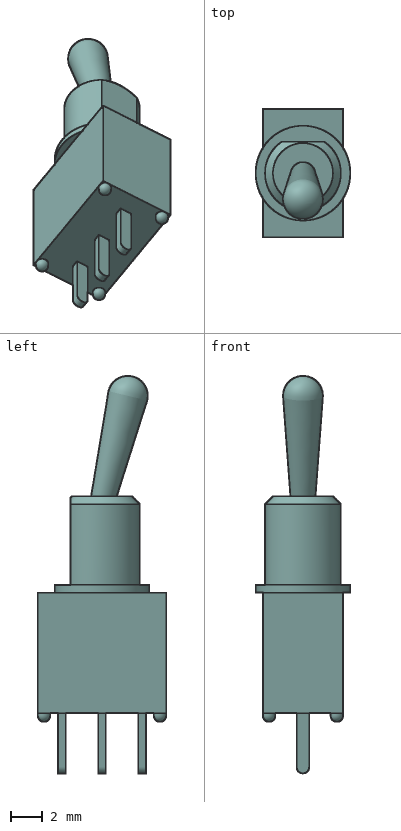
import cadquery as cq
import math


case_width = 5.08
case_length = 8.13
case_height = 7.62

flange_diameter = 6.0
flange_thickness = 0.5
bushing_diameter = 4.8
bushing_height = 5.6
bushing_chamfer = 0.5
bushing_flat_y = 2.0

ball_diameter = 2.54
lever_neck_diameter = 1.6
lever_tilt = 13.5
lever_rise = 7.61
lever_neck_y = -0.11
lever_embed = 0.5

terminal_count = 3
terminal_pitch = 2.54
terminal_width = 0.8
terminal_thickness = 0.5
terminal_length = 3.81

foot_diameter = 0.8
foot_height = 0.55

flange_top = case_height + flange_thickness
bushing_top = flange_top + bushing_height


def make_case():
    return cq.Workplane("XY").box(case_width, case_length, case_height, centered=(True, True, False))


def make_flange():
    return cq.Workplane("XY").workplane(offset=case_height).circle(flange_diameter / 2).extrude(flange_thickness)


def make_bushing():
    """Chamfered cylinder with a flat cut along its +Y side."""
    bushing = (
        cq.Workplane("XY")
        .workplane(offset=flange_top)
        .circle(bushing_diameter / 2)
        .extrude(bushing_height)
        .faces(">Z")
        .chamfer(bushing_chamfer)
    )
    beyond_flat = (
        cq.Workplane("XY")
        .workplane(offset=flange_top)
        .center(0, bushing_flat_y + bushing_diameter / 2)
        .rect(bushing_diameter, bushing_diameter)
        .extrude(bushing_height)
    )
    return bushing.cut(beyond_flat)


def make_lever():
    """Cone widening from the neck to a ball end, revolved about its axis and then tilted."""
    ball_radius = ball_diameter / 2
    neck_radius = lever_neck_diameter / 2
    ball_center = (lever_rise - ball_radius) / math.cos(math.radians(lever_tilt))
    taper = (ball_radius - neck_radius) / ball_center
    root_radius = neck_radius - taper * lever_embed
    arc_offset = ball_radius * math.sqrt(0.5)
    lever = (
        cq.Workplane("XZ")
        .moveTo(0, -lever_embed)
        .lineTo(root_radius, -lever_embed)
        .lineTo(ball_radius, ball_center)
        .threePointArc((arc_offset, ball_center + arc_offset), (0, ball_center + ball_radius))
        .close()
        .revolve(360, (0, 0, 0), (0, 1, 0))
    )
    return lever.rotate((0, 0, 0), (1, 0, 0), lever_tilt).translate((0, lever_neck_y, bushing_top))


def make_terminal(y):
    """Flat pin hanging below the case with a fully rounded tip."""
    half_width = terminal_width / 2
    arc_start = half_width - terminal_length
    return (
        cq.Workplane("XZ", origin=(0, y, 0))
        .moveTo(-half_width, 0)
        .lineTo(-half_width, arc_start)
        .threePointArc((0, -terminal_length), (half_width, arc_start))
        .lineTo(half_width, 0)
        .close()
        .extrude(terminal_thickness / 2, both=True)
    )


def make_foot(x, y):
    """Short round post with a hemispherical end."""
    foot_radius = foot_diameter / 2
    post_height = foot_height - foot_radius
    post = cq.Workplane("XY").circle(foot_radius).extrude(-post_height)
    dome = cq.Workplane("XY").sphere(foot_radius, angle2=0).translate((0, 0, -post_height))
    return post.union(dome).translate((x, y, 0))


result = make_case().union(make_flange()).union(make_bushing()).union(make_lever())

for index in range(terminal_count):
    result = result.union(make_terminal((index - (terminal_count - 1) / 2) * terminal_pitch))

foot_x = (case_width - foot_diameter) / 2
foot_y = (case_length - foot_diameter) / 2
for x_side in (-1, 1):
    for y_side in (-1, 1):
        result = result.union(make_foot(x_side * foot_x, y_side * foot_y))